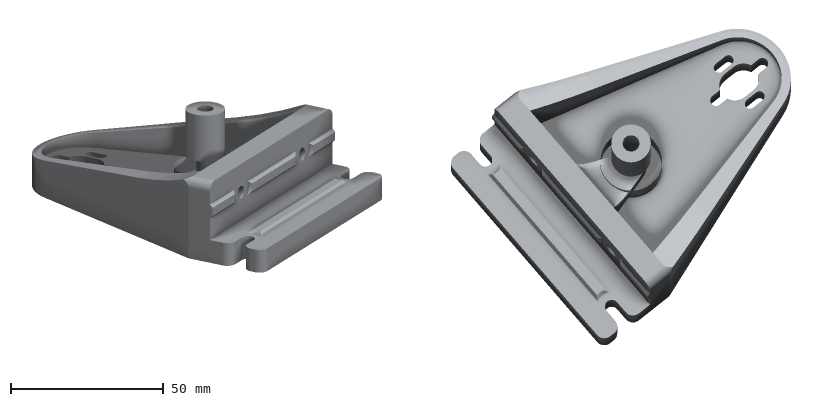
import cadquery as cq
import math

length = 108.0
width = 80.0
wall_height = 28.0
floor_thickness = 8.0
rim_width = 3.0

nose_radius = 17.0
wall_inner_x = 79.8
wall_outer_x = 88.0
pocket_half_width = 31.5
corner_radius = 3.0

nose_height = 11.0
slope_angle = 10.0
arc_start_x = 56.7

keyhole_length = 13.9
keyhole_width = 10.3
key_slot_length = 23.5
key_slot_width = 3.8
side_slot_length = 7.5
side_slot_width = 3.3
side_slot_y = 8.0

notch_x = 98.0
notch_width = 4.5
notch_end_y = 30.2

ridge_width = 4.9
ridge_height = 1.0
ridge_end_radius = 5.0
wall_ridge_z = 18.0
screw_diameter = 4.4
screw_y = 20.0

pivot_x = 62.9
bore_diameter = 5.5
rib_end_radius = 5.1
rib_wall_half_width = 10.0
rib_top_z = 13.2
rib_blend_start_x = 66.7
rib_blend_top_z = 24.9
rib_height_at_wall = 25.9
ledge = 0.05
collar_diameter = 20.4
collar_top_z = 15.9
thin_wall = 0.05

spacer_diameter = 13.0
spacer_bottom_z = 19.6
spacer_top_z = 36.0

half_width = width / 2


def teardrop(center_x, radius, end_x, end_half_width, height):
    """Prism with a round end that runs along tangents out to a straight end at end_x."""
    run = end_x - center_x
    tangent_angle = math.atan2(end_half_width, run) - math.asin(radius / math.hypot(run, end_half_width))
    tangent_x = center_x - radius * math.sin(tangent_angle)
    tangent_y = radius * math.cos(tangent_angle)
    return (
        cq.Workplane("XY")
        .moveTo(end_x, -end_half_width)
        .lineTo(tangent_x, -tangent_y)
        .threePointArc((center_x - radius, 0), (tangent_x, tangent_y))
        .lineTo(end_x, end_half_width)
        .close()
        .extrude(height)
    )


def cylinder(x, diameter, bottom_z, top_z):
    return cq.Workplane("XY", origin=(x, 0, bottom_z)).circle(diameter / 2).extrude(top_z - bottom_z)


def side_profile():
    """Side outline of the tray and wall, extruded over the full width."""
    slope = math.tan(math.radians(slope_angle))
    arc_start_z = nose_height + arc_start_x * slope
    return (
        cq.Workplane("XZ")
        .lineTo(0, nose_height)
        .lineTo(arc_start_x, arc_start_z)
        .tangentArcPoint((wall_inner_x, wall_height), relative=False)
        .lineTo(wall_outer_x, wall_height)
        .lineTo(wall_outer_x, 0)
        .close()
        .extrude(half_width, both=True)
    )


def tray_and_wall():
    wall = cq.Workplane("XY").box(
        wall_outer_x - wall_inner_x, width, wall_height, centered=(False, True, False)
    ).translate((wall_inner_x, 0, 0))
    outline = teardrop(nose_radius, nose_radius, wall_inner_x, half_width, wall_height).union(wall)
    rounded_section = (
        cq.Workplane("XY")
        .box(wall_outer_x, width, wall_height, centered=(False, True, False))
        .edges("|X and >Z")
        .fillet(corner_radius)
    )
    pocket = teardrop(
        nose_radius, nose_radius - rim_width, wall_inner_x, pocket_half_width, wall_height
    ).translate((0, 0, floor_thickness))
    return outline.intersect(side_profile()).intersect(rounded_section).cut(pocket)


def lip():
    lip_length = length - wall_inner_x
    plate = (
        cq.Workplane("XY")
        .box(lip_length, width, floor_thickness, centered=(False, True, False))
        .translate((wall_inner_x, 0, 0))
    )
    notch_length = half_width - notch_end_y
    for side in (-1, 1):
        notch = (
            cq.Workplane("XY")
            .center(notch_x, side * half_width)
            .slot2D(2 * notch_length, notch_width, 90)
            .extrude(floor_thickness)
        )
        plate = plate.cut(notch)
    return plate.edges("|Z and (>Y or <Y)").fillet(corner_radius)


def bar_ridge(ridge_length):
    """Bar along Y standing on Z = 0, with 45 degree bevels on its long sides."""
    foot = ridge_width / 2
    top = foot - ridge_height
    return (
        cq.Workplane("XZ")
        .polyline([(-foot, 0), (foot, 0), (top, ridge_height), (-top, ridge_height)])
        .close()
        .extrude(ridge_length / 2, both=True)
    )


def ridge_clearance(radius):
    """Cone standing on Z = 0 that ends a ridge in a 45 degree hollow bevel."""
    return cq.Workplane(cq.Solid.makeCone(radius, radius + ridge_height, ridge_height))


def lip_ridge():
    notch_center_y = notch_end_y + notch_width / 2
    bar = bar_ridge(2 * notch_center_y)
    for side in (-1, 1):
        bar = bar.cut(ridge_clearance(ridge_end_radius).translate((0, side * notch_center_y, 0)))
    return bar.translate((notch_x, 0, floor_thickness))


def wall_ridges():
    bars = bar_ridge(width)
    for side in (-1, 1):
        bars = bars.cut(ridge_clearance(ridge_end_radius).translate((0, side * screw_y, 0)))
    return bars.rotate((0, 0, 0), (0, 1, 0), 90).translate((wall_outer_x, 0, wall_ridge_z))


def screw_holes():
    return (
        cq.Workplane("YZ", origin=(wall_inner_x, 0, wall_ridge_z))
        .pushPoints([(-screw_y, 0), (screw_y, 0)])
        .circle(screw_diameter / 2)
        .extrude(wall_outer_x - wall_inner_x)
    )


def keyhole():
    """Wide slot crossed by a long narrow slot, with a short slot on either side."""

    def slot(center_y, slot_length, slot_width):
        plane = cq.Workplane("XY").center(nose_radius, center_y)
        return plane.slot2D(slot_length, slot_width).extrude(floor_thickness)

    cutter = slot(0, keyhole_length, keyhole_width).union(slot(0, key_slot_length, key_slot_width))
    for side in (-1, 1):
        cutter = cutter.union(slot(side * side_slot_y, side_slot_length, side_slot_width))
    return cutter


def pivot_rib():
    """Tapering rib whose flat top curves up to the wall in nearly a quarter circle."""
    rib_end_x = wall_inner_x - ledge
    profile = (
        cq.Workplane("XZ")
        .moveTo(pivot_x - rib_end_radius, 0)
        .lineTo(pivot_x - rib_end_radius, rib_top_z)
        .lineTo(rib_blend_start_x, rib_top_z)
        .tangentArcPoint((rib_end_x, rib_blend_top_z), relative=False)
        .lineTo(rib_end_x, rib_height_at_wall)
        .lineTo(wall_inner_x, rib_height_at_wall)
        .lineTo(wall_inner_x, 0)
        .close()
        .extrude(half_width, both=True)
    )
    plan = teardrop(pivot_x, rib_end_radius, wall_inner_x, rib_wall_half_width, wall_height)
    return plan.intersect(profile)


def collar():
    outside = cylinder(pivot_x, collar_diameter, 0, collar_top_z)
    return outside.cut(cylinder(pivot_x, collar_diameter - 2 * thin_wall, 0, collar_top_z))


def make_bracket():
    body = tray_and_wall().union(lip()).union(pivot_rib()).union(collar())
    body = body.union(lip_ridge()).union(wall_ridges())
    return body.cut(screw_holes()).cut(keyhole()).cut(cylinder(pivot_x, bore_diameter, 0, rib_top_z))


def make_spacer():
    """Spacer tube standing on the rib by a thin-walled neck around its bore."""
    tube = cylinder(pivot_x, spacer_diameter, spacer_bottom_z, spacer_top_z)
    neck = cylinder(pivot_x, bore_diameter + 2 * thin_wall, rib_top_z, spacer_bottom_z)
    return tube.union(neck).cut(cylinder(pivot_x, bore_diameter, rib_top_z, spacer_top_z))


bracket = make_bracket()
spacer = make_spacer()

result = cq.Compound.makeCompound([bracket.val(), spacer.val()])